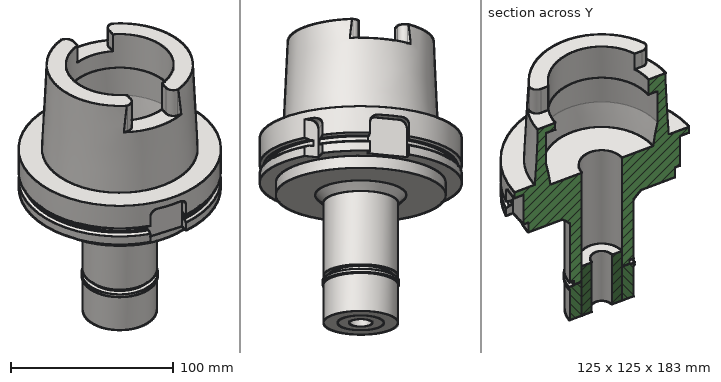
import cadquery as cq

TOTAL_HEIGHT = 183.0
TAPER_LENGTH = 63.0
FLANGE_HEIGHT = 29.0
SPIGOT_HEIGHT = 7.9
NECK_HEIGHT = 3.1
NUT_HEIGHT = 27.3
FLANGE_TOP = TOTAL_HEIGHT - TAPER_LENGTH
FLANGE_BOTTOM = FLANGE_TOP - FLANGE_HEIGHT
SPIGOT_BOTTOM = FLANGE_BOTTOM - SPIGOT_HEIGHT
NECK_TOP = NUT_HEIGHT + NECK_HEIGHT

TAPER_TOP_RADIUS = 45.2
TAPER_BASE_RADIUS = 48.1
FLANGE_DIAMETER = 125.0
FLANGE_RADIUS = FLANGE_DIAMETER / 2
SPIGOT_RADIUS = 52.5
SHANK_RADIUS = 23.0
NECK_RADIUS = 20.0
SHANK_FLARE = 5.1

GROOVE_RADIUS = 58.2
UPPER_RIM_HEIGHT = 17.0
LOWER_RIM_HEIGHT = 6.0
GROOVE_TOP = FLANGE_TOP - UPPER_RIM_HEIGHT
GROOVE_BOTTOM = FLANGE_BOTTOM + LOWER_RIM_HEIGHT
GROOVE_BEVEL_WIDTH = 2.4
GROOVE_BEVEL_HEIGHT = 1.19

LIP_RADIUS = 33.3
LIP_DEPTH = 25.0
CHAMBER_RADIUS = 39.7
CHAMBER_WALL_DEPTH = 50.0
FLOOR_RADIUS = 36.6
FLOOR_DEPTH = 67.5

NOTCH_WIDTH = 25.0
NOTCH_FLAT_OFFSET = 41.4
NOTCH_ROUNDING = 5.1
SHALLOW_NOTCH_DEPTH = 12.6
DEEP_NOTCH_DEPTH = 19.2

KEY_SLOT_WIDTH = 25.3
KEY_SLOT_FLOOR = 56.0
SLOT_DISTANCE_BELOW_TOP = 5.1
SLOT_HEIGHT = FLANGE_HEIGHT - SLOT_DISTANCE_BELOW_TOP
SLOT_ROUNDING = 5.0
CORNER_SLOT_FLOOR = 39.7
CORNER_SLOT_SIDE = 39.5

NUT_RADIUS = SHANK_RADIUS
NUT_COLLAR_RADIUS = 23.6
NUT_COLLAR_HEIGHT = 2.5
COLLET_RADIUS = 14.3
COLLET_HOLE_RADIUS = 7.1
COLLET_LENGTH = 40.3


def revolve_profile(points):
    """Solid of revolution about Z from (radius, height) points."""
    return cq.Workplane("YZ").polyline(points).close().revolve(360, (0, 0), (0, 1))


def holder_blank():
    groove_bevel_radius = FLANGE_RADIUS - GROOVE_BEVEL_WIDTH
    return revolve_profile([
        (0, TOTAL_HEIGHT),
        (TAPER_TOP_RADIUS, TOTAL_HEIGHT),
        (TAPER_BASE_RADIUS, FLANGE_TOP),
        (FLANGE_RADIUS, FLANGE_TOP),
        (FLANGE_RADIUS, GROOVE_TOP),
        (groove_bevel_radius, GROOVE_TOP - GROOVE_BEVEL_HEIGHT),
        (GROOVE_RADIUS, GROOVE_TOP - GROOVE_BEVEL_HEIGHT),
        (GROOVE_RADIUS, GROOVE_BOTTOM + GROOVE_BEVEL_HEIGHT),
        (groove_bevel_radius, GROOVE_BOTTOM + GROOVE_BEVEL_HEIGHT),
        (FLANGE_RADIUS, GROOVE_BOTTOM),
        (FLANGE_RADIUS, FLANGE_BOTTOM),
        (SPIGOT_RADIUS, FLANGE_BOTTOM),
        (SPIGOT_RADIUS, SPIGOT_BOTTOM),
        (SHANK_RADIUS + SHANK_FLARE, SPIGOT_BOTTOM),
        (SHANK_RADIUS, SPIGOT_BOTTOM - SHANK_FLARE),
        (SHANK_RADIUS, NECK_TOP),
        (NECK_RADIUS, NECK_TOP),
        (NECK_RADIUS, NUT_HEIGHT),
        (0, NUT_HEIGHT),
    ])


def holder_cavity():
    """Lip bore, chamber and collet bore as one turned cutter."""
    lip_bottom = TOTAL_HEIGHT - LIP_DEPTH
    chamber_wall_bottom = TOTAL_HEIGHT - CHAMBER_WALL_DEPTH
    floor = TOTAL_HEIGHT - FLOOR_DEPTH
    return revolve_profile([
        (0, TOTAL_HEIGHT),
        (LIP_RADIUS, TOTAL_HEIGHT),
        (LIP_RADIUS, lip_bottom),
        (CHAMBER_RADIUS, lip_bottom),
        (CHAMBER_RADIUS, chamber_wall_bottom),
        (FLOOR_RADIUS, floor),
        (COLLET_RADIUS, floor),
        (COLLET_RADIUS, NUT_HEIGHT),
        (0, NUT_HEIGHT),
    ])


def drive_notch(depth):
    """Cutter on the +X side that leaves rounded corners and flats beside the notch."""
    half_width = NOTCH_WIDTH / 2
    flat_end = half_width + NOTCH_ROUNDING
    rounding_start = NOTCH_FLAT_OFFSET - NOTCH_ROUNDING
    outside = TAPER_BASE_RADIUS
    return (
        cq.Workplane("XY", origin=(0, 0, TOTAL_HEIGHT - depth))
        .moveTo(0, -half_width)
        .lineTo(rounding_start, -half_width)
        .radiusArc((NOTCH_FLAT_OFFSET, -flat_end), NOTCH_ROUNDING)
        .lineTo(NOTCH_FLAT_OFFSET, -outside)
        .lineTo(outside, -outside)
        .lineTo(outside, outside)
        .lineTo(NOTCH_FLAT_OFFSET, outside)
        .lineTo(NOTCH_FLAT_OFFSET, flat_end)
        .radiusArc((rounding_start, half_width), NOTCH_ROUNDING)
        .lineTo(0, half_width)
        .close()
        .extrude(depth)
    )


def rim_slot(floor_offset, y_min, y_max, rounded_edges):
    """Cutter on the -X side, from the slot floor out past the flange rim."""
    length = FLANGE_RADIUS - floor_offset
    return (
        cq.Workplane("XY")
        .box(length, y_max - y_min, SLOT_HEIGHT, centered=False)
        .edges(rounded_edges)
        .fillet(SLOT_ROUNDING)
        .translate((-FLANGE_RADIUS, y_min, FLANGE_BOTTOM))
    )


def make_holder():
    body = holder_blank().cut(holder_cavity())

    deep_notch = drive_notch(DEEP_NOTCH_DEPTH)
    shallow_notch = drive_notch(SHALLOW_NOTCH_DEPTH).rotate((0, 0, 0), (0, 0, 1), 180)
    body = body.cut(deep_notch).cut(shallow_notch)

    key_slot = rim_slot(KEY_SLOT_FLOOR, -KEY_SLOT_WIDTH / 2, KEY_SLOT_WIDTH / 2, "|X and >Z")
    body = body.cut(key_slot).cut(key_slot.mirror("YZ"))

    corner_slot = rim_slot(CORNER_SLOT_FLOOR, CORNER_SLOT_SIDE, FLANGE_RADIUS, "|X and >Z and <Y")
    return body.cut(corner_slot)


def make_nut():
    """Clamping nut with a collar at the holder end."""
    collar_bevel = NUT_COLLAR_RADIUS - NUT_RADIUS
    collar_bottom = NUT_HEIGHT - NUT_COLLAR_HEIGHT
    return revolve_profile([
        (COLLET_RADIUS, 0),
        (NUT_RADIUS, 0),
        (NUT_RADIUS, collar_bottom),
        (NUT_COLLAR_RADIUS, collar_bottom + collar_bevel),
        (NUT_COLLAR_RADIUS, NUT_HEIGHT),
        (COLLET_RADIUS, NUT_HEIGHT),
    ])


def make_collet():
    """Plain sleeve filling the nut and the lower end of the holder bore."""
    return (
        cq.Workplane("XY")
        .circle(COLLET_RADIUS)
        .circle(COLLET_HOLE_RADIUS)
        .extrude(COLLET_LENGTH)
    )


holder = make_holder()
nut = make_nut()
collet = make_collet()

result = cq.Compound.makeCompound([holder.val(), nut.val(), collet.val()])